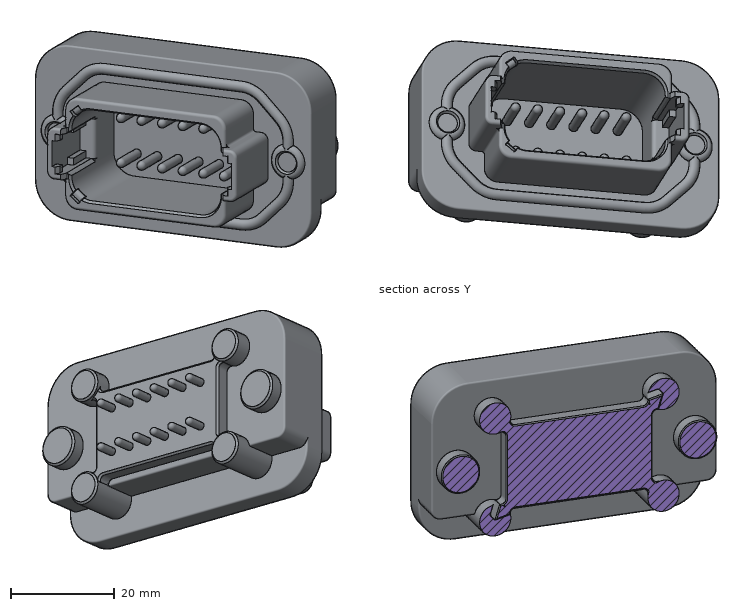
import cadquery as cq
import math


flange_width = 59.2
flange_height = 35.25
flange_corner_radius = 7.5
flange_thickness = 4.7
body_depth = 11.6
body_bottom_z = -10.05
body_bottom_radius = 2.0
flange_edge_radius = 0.35

bead_radius = 1.1
bead_centre_y = 0.1
bead_half_width = 24.65
bead_half_height = 13.9
bead_corner_radius = 6.3
bead_top_half_length = 14.7
bead_side_half_length = 4.0
ring_radius = 2.45
ring_bore_radius = 2.32
ring_floor_radius = 1.96
ring_floor_depth = 0.5

shell_half_width = 17.2
shell_half_height = 11.25
shell_corner_radius = 2.65
shell_length = 12.85
shell_edge_radius = 0.6
cavity_half_width = 15.95
cavity_half_height = 9.15
cavity_corner_radius = 4.3
cavity_lip_flare = 0.4
cavity_lip_depth = 0.65
cavity_floor_y = 7.0

tab_half_width = 20.3
tab_half_height = 5.17
tab_corner_radius = 1.5
tab_length = 14.43
tab_edge_radius = 0.55
tab_root_radius = 0.5
tab_slope_root_x = 16.7
tab_slope_tip_x = 17.4
pocket_half_width = 19.2
pocket_half_height = 4.0
pocket_floor_y = -1.55
pocket_floor_edge_radius = 0.85
pocket_mouth_width = 0.85
pocket_mouth_knee_width = 0.45
pocket_mouth_height = 0.57
pocket_mouth_knee_height = 0.2
latch_slot_half_height = 2.6
latch_step_x = 17.9
rail_front_y = -7.35
nub_rear_y = -12.4
nub_slope_start_y = -13.5
nub_tip_x = 18.5

notch_angle = 51.0
notch_width = 2.2
notch_reach = 5.6
notch_depth = 1.0
notch_edge_radius = 0.8

pin_columns = 6
pin_pitch = 4.41
row_half_spacing = 4.53
contact_radius = 0.92
contact_tip_y = -1.2
solder_pin_radius = 0.8
solder_pin_tip_rounding = 0.75
overall_depth = 33.21
solder_pin_tip_y = overall_depth - tab_length

post_x = 17.5
post_z = 10.65
post_radius = 3.3
post_rear_y = 15.47
boss_radius = 4.0
block_rear_y = 14.58
rear_edge_chamfer = 0.4
block_half_width = 15.2
block_half_height = 8.7
block_root_radius = 1.0

MIRROR_SIGNS = (-1, 1)


def xz_plane(y):
    """Workplane across the mating axis at y; positive extrusion runs toward -Y."""
    return cq.Workplane("XZ", origin=(0, y, 0))


def rounded_bar(half_width, half_height, radius, y_front, y_rear):
    """Bar along Y, centred on the axis, with rounded long edges."""
    bar = xz_plane(y_rear).rect(2 * half_width, 2 * half_height).extrude(y_rear - y_front)
    return bar.edges("|Y").fillet(radius)


def box_between(x0, x1, y0, y1, z0, z1):
    """Box spanning the given limits on each axis."""
    box = cq.Workplane("XY").box(abs(x1 - x0), abs(y1 - y0), abs(z1 - z0))
    return box.translate(((x0 + x1) / 2, (y0 + y1) / 2, (z0 + z1) / 2))


def rod(x, z, radius, y_front, y_rear):
    """Cylinder along Y centred at (x, z)."""
    return xz_plane(y_rear).center(x, z).circle(radius).extrude(y_rear - y_front)


def make_flange_and_body():
    """Thin full-height flange with a shorter, deeper body behind it."""
    half_width = flange_width / 2
    half_height = flange_height / 2
    flange = rounded_bar(half_width, half_height, flange_corner_radius, 0, flange_thickness)
    flange = flange.faces("<Y or >Y").edges().fillet(flange_edge_radius)
    body = box_between(-half_width, half_width, flange_edge_radius, body_depth, body_bottom_z, half_height)
    body = body.edges("|Y and >Z").fillet(flange_corner_radius)
    body = body.edges("|Y and <Z").fillet(body_bottom_radius)
    body = body.faces(">Y").edges().fillet(flange_edge_radius)
    return flange.union(body)


def make_gasket_loop():
    """Half-buried round bead swept around the flange face."""
    diagonal = bead_corner_radius * math.sin(math.pi / 4)
    inset = bead_corner_radius - diagonal
    half_step = math.pi / 8
    near = bead_corner_radius * math.sin(half_step)
    sag = bead_corner_radius * (1 - math.cos(half_step))
    top_x = bead_top_half_length
    side_z = bead_side_half_length

    quarter = [
        (top_x, bead_half_height),
        (top_x + near, bead_half_height - sag),
        (top_x + diagonal, bead_half_height - inset),
        (bead_half_width - inset, side_z + diagonal),
        (bead_half_width - sag, side_z + near),
        (bead_half_width, side_z),
    ]
    path = xz_plane(bead_centre_y).moveTo(0, bead_half_height).lineTo(*quarter[0])
    path = path.threePointArc(quarter[1], quarter[2]).lineTo(*quarter[3])
    path = path.threePointArc(quarter[4], quarter[5]).lineTo(bead_half_width, 0)
    start = cq.Workplane("YZ", origin=(0, bead_centre_y, bead_half_height))
    arm = start.circle(bead_radius).sweep(path)
    arm = arm.union(arm.mirror("XY"))
    return arm.union(arm.mirror("YZ"))


def make_gasket_ring(x):
    """Half-buried bead ring at x with its bore filled up to the crest."""
    centre = cq.Vector(x, bead_centre_y, 0)
    ring = cq.Workplane(cq.Solid.makeTorus(ring_radius, bead_radius, centre, cq.Vector(0, 1, 0)))
    return ring.union(rod(x, 0, ring_radius, bead_centre_y - bead_radius, flange_edge_radius))


def make_ring_recess(x):
    """Shallow tapered recess inside a gasket ring."""
    floor = xz_plane(bead_centre_y - bead_radius + ring_floor_depth).center(x, 0).circle(ring_floor_radius)
    return floor.workplane(offset=ring_floor_depth).circle(ring_bore_radius).loft()


def make_shroud():
    """Solid outside of the shroud: the shell and the two latch tabs that project past it."""
    shell = rounded_bar(
        shell_half_width, shell_half_height, shell_corner_radius, -shell_length, flange_edge_radius
    )
    shell = shell.faces("<Y").edges().fillet(shell_edge_radius)
    tabs = rounded_bar(tab_half_width, tab_half_height, tab_corner_radius, -tab_length, flange_edge_radius)
    tabs = tabs.faces("<Y").edges().fillet(tab_edge_radius)
    return shell.union(tabs.cut(make_tab_clearance())).union(make_tab_root_fillets())


def make_tab_clearance():
    """Opening between the two tabs in front of the shell, with sloped flanks."""
    outline = [
        (-tab_slope_root_x, -shell_length),
        (tab_slope_root_x, -shell_length),
        (tab_slope_tip_x, -tab_length),
        (-tab_slope_tip_x, -tab_length),
    ]
    return cq.Workplane("XY").polyline(outline).close().extrude(tab_half_height, both=True)


def make_tab_root_fillets():
    """Concave fillets along the corners between the tabs and the shell sides."""
    fillets = cq.Workplane("XY")
    length = shell_length - shell_edge_radius
    radius = tab_root_radius
    middle = radius * (1 - math.sqrt(0.5))
    for sx in MIRROR_SIGNS:
        for sz in MIRROR_SIGNS:
            corner_x = sx * shell_half_width
            corner_z = sz * tab_half_height
            wedge = xz_plane(0).moveTo(corner_x, corner_z).lineTo(corner_x + sx * radius, corner_z)
            wedge = wedge.threePointArc(
                (corner_x + sx * middle, corner_z + sz * middle), (corner_x, corner_z + sz * radius)
            )
            fillets = fillets.add(wedge.close().extrude(length))
    return fillets.combine()


def make_cavity():
    """Mating cavity with a flared lip."""
    cavity = rounded_bar(
        cavity_half_width, cavity_half_height, cavity_corner_radius, -shell_length, cavity_floor_y
    )
    lip_outline = cq.Sketch().rect(2 * cavity_half_width, 2 * cavity_half_height)
    lip_outline = lip_outline.vertices().fillet(cavity_corner_radius)
    lip_taper = math.degrees(math.atan2(cavity_lip_flare, cavity_lip_depth))
    lip = xz_plane(cavity_lip_depth - shell_length).placeSketch(lip_outline)
    lip = lip.extrude(cavity_lip_depth, taper=-lip_taper)
    return cavity.union(lip)


def make_latch_pocket():
    """Pocket inside the +X tab: mouth flared in two steps, rounded inner floor edge, latch nubs and rails."""
    mouth = [
        (cavity_half_width + pocket_mouth_width, pocket_half_height),
        (cavity_half_width + pocket_mouth_knee_width, pocket_half_height + pocket_mouth_knee_height),
        (cavity_half_width, pocket_half_height + pocket_mouth_height),
    ]
    upper = [(pocket_half_width, pocket_half_height)] + mouth
    lower = [(x, -z) for x, z in reversed(upper)]
    outline = upper + lower
    pocket = xz_plane(pocket_floor_y).polyline(outline).close().extrude(tab_length + pocket_floor_y)

    arc_end_x = cavity_half_width + pocket_floor_edge_radius
    arc_offset = pocket_floor_edge_radius * math.sqrt(0.5)
    rounding = cq.Workplane("XY").moveTo(cavity_half_width, pocket_floor_y)
    rounding = rounding.lineTo(cavity_half_width, pocket_floor_y + pocket_floor_edge_radius)
    rounding = rounding.threePointArc(
        (arc_end_x - arc_offset, pocket_floor_y + pocket_floor_edge_radius - arc_offset),
        (arc_end_x, pocket_floor_y),
    )
    rounding = rounding.close().extrude(pocket_half_height, both=True)
    pocket = pocket.union(rounding)

    nub_outline = [
        (latch_step_x, nub_rear_y),
        (latch_step_x, nub_slope_start_y),
        (nub_tip_x, -tab_length),
        (pocket_half_width, -tab_length),
        (pocket_half_width, nub_rear_y),
    ]
    step_height = pocket_half_height - latch_slot_half_height
    nub = cq.Workplane("XY").polyline(nub_outline).close().extrude(step_height)
    rail = box_between(latch_step_x, pocket_half_width, rail_front_y, pocket_floor_y, 0, step_height)
    for z in (latch_slot_half_height, -pocket_half_height):
        pocket = pocket.cut(nub.translate((0, 0, z))).cut(rail.translate((0, 0, z)))
    return pocket


def make_polarising_notch():
    """Shallow radial notch in the upper -X corner of the lip, its floor rounded into the cavity."""
    floor_y = notch_depth - shell_length
    wall_radius = cavity_corner_radius
    arc_offset = notch_edge_radius * math.sqrt(0.5)
    arc_middle = (
        wall_radius + notch_edge_radius - arc_offset,
        floor_y + notch_edge_radius - arc_offset,
    )
    profile = cq.Workplane("XY").moveTo(0, -shell_length).lineTo(notch_reach, -shell_length)
    profile = profile.lineTo(notch_reach, floor_y).lineTo(wall_radius + notch_edge_radius, floor_y)
    profile = profile.threePointArc(arc_middle, (wall_radius, floor_y + notch_edge_radius))
    profile = profile.lineTo(0, floor_y + notch_edge_radius)
    notch = profile.close().extrude(notch_width / 2, both=True)
    notch = notch.rotate((0, 0, 0), (0, 1, 0), notch_angle - 180)
    corner_x = cavity_corner_radius - cavity_half_width
    corner_z = cavity_half_height - cavity_corner_radius
    return notch.translate((corner_x, 0, corner_z))


def make_raised_block():
    """Raised rear block whose corners blend into the four posts with concave fillets."""
    reach = post_radius + block_root_radius
    top_drop = post_z - block_half_height - block_root_radius
    side_drop = post_x - block_half_width - block_root_radius
    top_end_x = post_x - math.sqrt(reach**2 - top_drop**2)
    side_end_z = post_z - math.sqrt(reach**2 - side_drop**2)

    top_root_z = block_half_height + block_root_radius
    side_root_x = block_half_width + block_root_radius

    wide = box_between(-block_half_width, block_half_width, body_depth, block_rear_y, -side_end_z, side_end_z)
    tall = box_between(
        -top_end_x, top_end_x, body_depth, block_rear_y, -block_half_height, block_half_height
    )
    block = wide.union(tall)

    outline = [
        (top_end_x, side_end_z),
        (top_end_x, top_root_z),
        (post_x, post_z),
        (side_root_x, side_end_z),
    ]
    web = xz_plane(block_rear_y).polyline(outline).close().extrude(block_rear_y - body_depth)
    web = web.cut(rod(top_end_x, top_root_z, block_root_radius, body_depth, block_rear_y))
    web = web.cut(rod(side_root_x, side_end_z, block_root_radius, body_depth, block_rear_y))
    for mirrored in (web, web.mirror("YZ"), web.mirror("XY"), web.mirror("YZ").mirror("XY")):
        block = block.union(mirrored)
    return block.faces(">Y").edges().chamfer(rear_edge_chamfer)


def make_rear_posts():
    """Four round posts that reach past the body, rising from inside the flange."""
    posts = cq.Workplane("XY")
    front_y = flange_thickness - flange_edge_radius
    for sx in MIRROR_SIGNS:
        for sz in MIRROR_SIGNS:
            post = rod(sx * post_x, sz * post_z, post_radius, front_y, post_rear_y)
            posts = posts.add(post.faces(">Y").edges().chamfer(rear_edge_chamfer))
    return posts.combine()


def make_end_bosses():
    """Round boss behind each gasket ring."""
    bosses = cq.Workplane("XY")
    for sx in MIRROR_SIGNS:
        boss = rod(sx * bead_half_width, 0, boss_radius, flange_thickness, block_rear_y)
        bosses = bosses.add(boss.faces(">Y").edges().chamfer(rear_edge_chamfer))
    return bosses.combine()


def make_pins():
    """Two rows of round-tipped contacts in the cavity, each with a solder pin at the rear."""
    pins = cq.Workplane("XY")
    first_x = -pin_pitch * (pin_columns - 1) / 2
    for column in range(pin_columns):
        for sz in MIRROR_SIGNS:
            x = first_x + column * pin_pitch
            z = sz * row_half_spacing
            dome_y = contact_tip_y + contact_radius
            contact = rod(x, z, contact_radius, dome_y, cavity_floor_y + contact_radius)
            dome = cq.Workplane("XY").sphere(contact_radius).translate((x, dome_y, z))
            solder_pin = rod(x, z, solder_pin_radius, body_depth, solder_pin_tip_y)
            solder_pin = solder_pin.faces(">Y").edges().fillet(solder_pin_tip_rounding)
            pins = pins.add(contact.union(dome)).add(solder_pin)
    return pins.combine()


housing = make_flange_and_body().union(make_gasket_loop())
for ring_x in (-bead_half_width, bead_half_width):
    housing = housing.union(make_gasket_ring(ring_x)).cut(make_ring_recess(ring_x))

latch_pocket = make_latch_pocket()
notch = make_polarising_notch()
housing = housing.union(make_shroud()).cut(make_cavity())
housing = housing.cut(latch_pocket).cut(latch_pocket.mirror("YZ"))
housing = housing.cut(notch).cut(notch.mirror("XY"))

housing = housing.union(make_rear_posts()).union(make_raised_block()).union(make_end_bosses())
result = housing.union(make_pins())